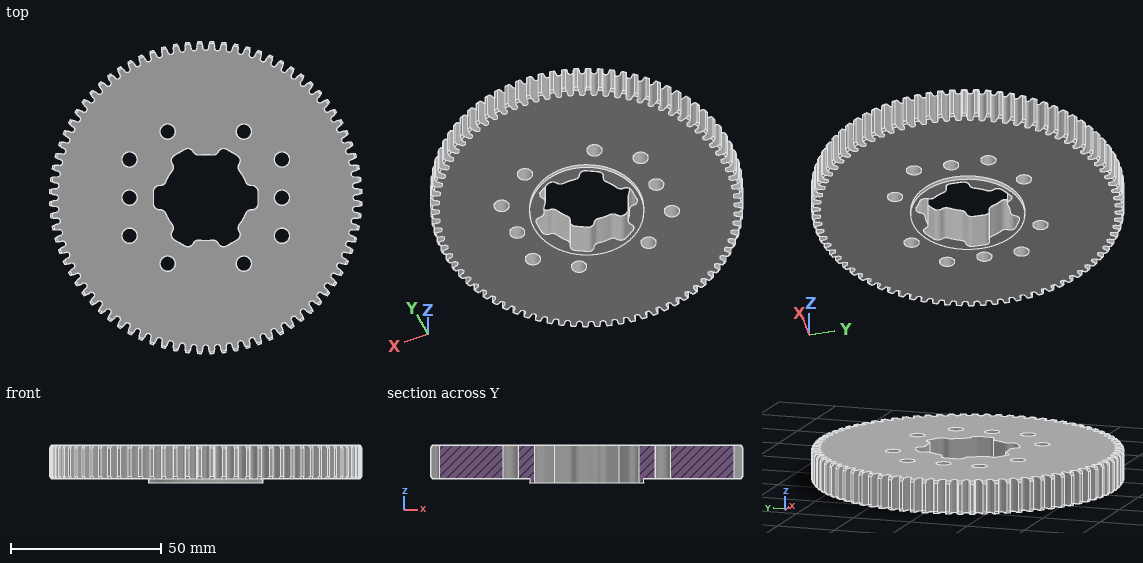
import cadquery as cq
import math

MODULE = 1.27
TEETH = 80
PRESSURE_ANGLE = math.radians(14.5)
PITCH_RADIUS = MODULE * TEETH / 2
TIP_RADIUS = PITCH_RADIUS + MODULE
BASE_RADIUS = PITCH_RADIUS * math.cos(PRESSURE_ANGLE)
TOOTH_PITCH_ANGLE = 2 * math.pi / TEETH
FLANK_RELIEF = 0.035

ROOT_RADIUS = 49.12
SLOT_HALF_WIDTH = 0.95
SLOT_TOP_RADIUS = 50.5
CUT_MARGIN = 0.5

TOTAL_HEIGHT = 12.7
HUB_HEIGHT = 1.4
HUB_DIAMETER = 38.1
GEAR_WIDTH = TOTAL_HEIGHT - HUB_HEIGHT
TIP_CHAMFER_RADIAL = 0.64
TIP_CHAMFER_AXIAL = 0.9

LOBES = 6
BORE_RADIUS = 14.3
LOBE_RADIUS = 17.4
LOBE_HALF_WIDTH = 4.0
BORE_FILLET = 2.0

HOLE_DIAMETER = 5.0
HOLE_PITCH = 12.7
HOLE_CIRCLE_RADIUS = 2 * HOLE_PITCH
CIRCLE_HOLES = 6


def polar(radius, angle):
    return (radius * math.cos(angle), radius * math.sin(angle))


def involute(angle):
    """Involute function: polar angle of the curve at a given pressure angle."""
    return math.tan(angle) - angle


def flank_point(radius, side):
    """Point on the involute flank at a radius, on one side (-1 or 1) of a gap centred on +X."""
    flank_angle = math.acos(BASE_RADIUS / radius)
    half_angle = TOOTH_PITCH_ANGLE / 4 - involute(PRESSURE_ANGLE) + involute(flank_angle)
    half_angle += FLANK_RELIEF / PITCH_RADIUS
    return polar(radius, side * half_angle)


def make_blank():
    """Disc at the tip radius, bevelled at both rims."""
    rim_radius = TIP_RADIUS - TIP_CHAMFER_RADIAL
    section = [
        (0, 0),
        (rim_radius, 0),
        (TIP_RADIUS, TIP_CHAMFER_AXIAL),
        (TIP_RADIUS, GEAR_WIDTH - TIP_CHAMFER_AXIAL),
        (rim_radius, GEAR_WIDTH),
        (0, GEAR_WIDTH),
    ]
    return cq.Workplane("XZ").polyline(section).close().revolve(360, (0, 0), (0, 1))


def make_tooth_gaps():
    """One cutter per tooth gap, the first centred on +X."""
    outer_radius = TIP_RADIUS + CUT_MARGIN
    middle_radius = (SLOT_TOP_RADIUS + outer_radius) / 2
    slot_centre_x = ROOT_RADIUS + SLOT_HALF_WIDTH
    gap = (
        cq.Workplane("XY")
        .moveTo(*flank_point(outer_radius, -1))
        .threePointArc(flank_point(middle_radius, -1), flank_point(SLOT_TOP_RADIUS, -1))
        .lineTo(slot_centre_x, -SLOT_HALF_WIDTH)
        .threePointArc((ROOT_RADIUS, 0), (slot_centre_x, SLOT_HALF_WIDTH))
        .lineTo(*flank_point(SLOT_TOP_RADIUS, 1))
        .threePointArc(flank_point(middle_radius, 1), flank_point(outer_radius, 1))
        .close()
        .extrude(GEAR_WIDTH)
        .val()
    )
    step = math.degrees(TOOTH_PITCH_ANGLE)
    axis_end = cq.Vector(0, 0, 1)
    return [gap.rotate(cq.Vector(), axis_end, index * step) for index in range(TEETH)]


def make_hub():
    return cq.Workplane("XY").circle(HUB_DIAMETER / 2).extrude(-HUB_HEIGHT)


def make_bore():
    """Round hole plus three crossing bars, with every vertical corner rounded."""
    base = cq.Workplane("XY", origin=(0, 0, -HUB_HEIGHT))
    bore = base.circle(BORE_RADIUS).extrude(TOTAL_HEIGHT)
    bar = base.rect(2 * LOBE_RADIUS, 2 * LOBE_HALF_WIDTH).extrude(TOTAL_HEIGHT)
    for index in range(LOBES // 2):
        bore = bore.union(bar.rotate((0, 0, 0), (0, 0, 1), index * 360 / LOBES))
    return bore.edges("|Z").fillet(BORE_FILLET)


def make_bolt_holes():
    circle_points = [
        polar(HOLE_CIRCLE_RADIUS, index * 2 * math.pi / CIRCLE_HOLES) for index in range(CIRCLE_HOLES)
    ]
    grid_points = [
        (side_x * HOLE_CIRCLE_RADIUS, side_y * HOLE_PITCH)
        for side_x in (-1, 1)
        for side_y in (-1, 1)
    ]
    return (
        cq.Workplane("XY")
        .pushPoints(circle_points + grid_points)
        .circle(HOLE_DIAMETER / 2)
        .extrude(GEAR_WIDTH)
    )


gear = cq.Workplane(make_blank().val().cut(*make_tooth_gaps()))
result = gear.union(make_hub()).cut(make_bore()).cut(make_bolt_holes())